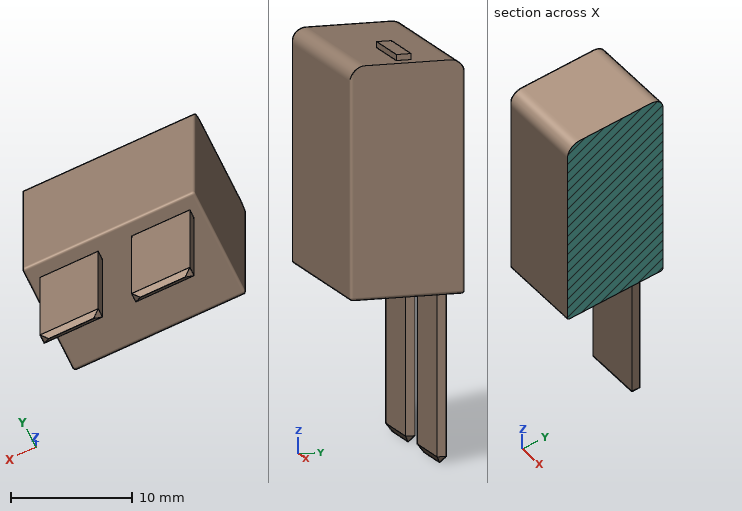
import cadquery as cq

body_width = 15.75
body_depth = 9.91
body_height = 19.81
top_radius = 1.27
edge_radius = 0.25

button_width = 5.25
button_depth = 1.27
button_height = 0.51

blade_width = 5.33
blade_thickness = 0.81
blade_length = 14.48
blade_gap = 3.05
blade_setback = 1.27
tip_height = 0.62
tip_side_inset = 0.6
tip_edge_thickness = 0.02

blade_y = body_depth / 2 - blade_setback - blade_thickness / 2
blade_x = (blade_gap + blade_width) / 2
button_x = (blade_gap + button_width) / 2


def make_block():
    """Sharp-edged housing block standing on Z = 0."""
    return cq.Workplane("XY").box(body_width, body_depth, body_height, centered=(True, True, False))


def make_body():
    """Block with small edge rounds, trimmed by a profile with a rounded top."""
    soft_edged_block = make_block().edges("|Z or <Z").fillet(edge_radius)
    round_topped_block = make_block().edges("|X and >Z").fillet(top_radius)
    return soft_edged_block.intersect(round_topped_block)


def make_button():
    """Low rectangular bar on the top face."""
    return (
        cq.Workplane("XY", origin=(button_x, 0, body_height))
        .rect(button_width, button_depth)
        .extrude(button_height)
    )


def make_blade(x):
    """Flat blade hanging down at the given X, tapered to a thin edge."""
    straight_length = blade_length - tip_height
    shank = (
        cq.Workplane("XY", origin=(x, blade_y, 0))
        .rect(blade_width, blade_thickness)
        .extrude(-straight_length)
    )
    tip = (
        cq.Workplane("XY", origin=(x, blade_y, -straight_length))
        .rect(blade_width, blade_thickness)
        .workplane(offset=-tip_height)
        .rect(blade_width - 2 * tip_side_inset, tip_edge_thickness)
        .loft(ruled=True)
    )
    return shank.union(tip)


result = (
    make_body()
    .union(make_button())
    .union(make_blade(-blade_x))
    .union(make_blade(blade_x))
)